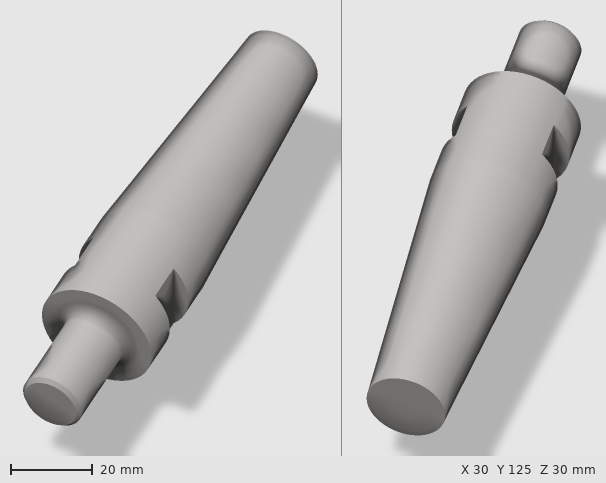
import cadquery as cq

total_length = 125.0
shank_length = 25.0
collar_length = 30.0
body_diameter = 30.0
tip_diameter = 20.0
shank_diameter = 16.0
end_chamfer = 1.0
root_fillet = 3.0

flat_spacing = 22.0
flat_width = 10.0

body_radius = body_diameter / 2
shank_radius = shank_diameter / 2
collar_start = -total_length / 2 + shank_length
collar_end = collar_start + collar_length
flat_center = (collar_start + collar_end) / 2


def turned_body():
    """Revolve the half profile (radius along X) about the Y axis."""
    front = -total_length / 2
    back = total_length / 2
    profile = (
        cq.Workplane("XY")
        .moveTo(0, front)
        .lineTo(shank_radius - end_chamfer, front)
        .lineTo(shank_radius, front + end_chamfer)
        .lineTo(shank_radius, collar_start - root_fillet)
        .radiusArc((shank_radius + root_fillet, collar_start), root_fillet)
        .lineTo(body_radius, collar_start)
        .lineTo(body_radius, collar_end)
        .lineTo(tip_diameter / 2, back)
        .lineTo(0, back)
        .close()
    )
    return profile.revolve(360, (0, 0, 0), (0, 1, 0))


def flat_cutter(side):
    """Block that removes the collar outside one wrench flat."""
    depth = body_radius
    offset = side * (flat_spacing + depth) / 2
    return cq.Workplane("XY").box(depth, flat_width, body_diameter).translate((offset, flat_center, 0))


result = turned_body()
for side in (-1, 1):
    result = result.cut(flat_cutter(side))